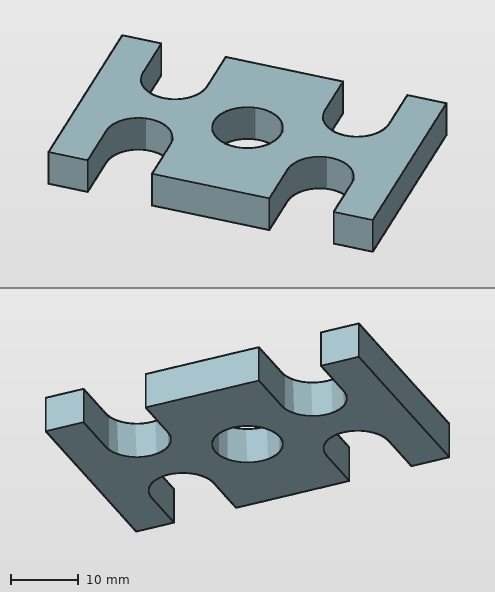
import cadquery as cq

length = 50.8
width = 31.75
thickness = 5.75

hole_diameter = 10.4

slot_width = 10.05
slot_offset = 14.2
left_web = 5.75
right_web = 6.1


def edge_slot(x, web, side):
    """Cutter for one slot; side is +1 for the back edge, -1 for the front."""
    radius = slot_width / 2
    round_center_y = web / 2 + radius
    straight_length = width / 2 - round_center_y
    round_end = (
        cq.Workplane("XY")
        .center(x, side * round_center_y)
        .circle(radius)
        .extrude(thickness)
    )
    straight = (
        cq.Workplane("XY")
        .center(x, side * (round_center_y + straight_length / 2))
        .rect(slot_width, straight_length)
        .extrude(thickness)
    )
    return round_end.union(straight)


plate = cq.Workplane("XY").box(length, width, thickness, centered=(True, True, False))
result = plate.faces(">Z").workplane().hole(hole_diameter)

for slot_x, slot_web in ((-slot_offset, left_web), (slot_offset, right_web)):
    for edge_side in (-1, 1):
        result = result.cut(edge_slot(slot_x, slot_web, edge_side))